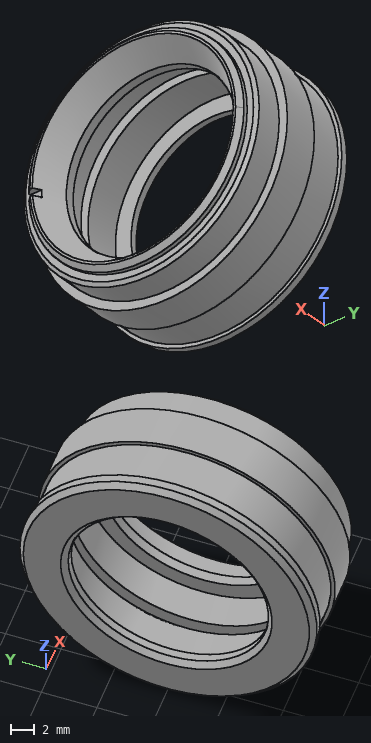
import cadquery as cq

total_length = 12.95
flange_end = 1.25
collar_start = 5.1
recess_end = 6.1
collar_end = 8.9
body_land_start = 9.3
cone_start = 10.27
nose_start = 11.98

outer_dia = 26.75
sleeve_dia = 25.97
barrel_dia = 25.0
barrel_tip_dia = 24.2
nose_dia = 22.87
cap_opening_dia = 18.0
bore_dia = 21.35
recess_dia = 24.2
body_land_dia = 18.14
cone_mouth_dia = 21.35

edge_chamfer = 0.5
barrel_chamfer_length = 0.27

notch_width = 0.75
notch_depth = 0.75
notch_tilt = 2.3


def turned(profile):
    """Revolve a closed (axial position, diameter) outline about the X axis."""
    points = [(x, diameter / 2) for x, diameter in profile]
    return cq.Workplane("XY").polyline(points).close().revolve(360, (0, 0, 0), (1, 0, 0))


def make_cap():
    """Flanged cap whose sleeve butts against the collar face of the body."""
    return turned([
        (0, cap_opening_dia + 2 * edge_chamfer),
        (0, outer_dia - 2 * edge_chamfer),
        (edge_chamfer, outer_dia),
        (flange_end, outer_dia),
        (flange_end, sleeve_dia),
        (collar_start, sleeve_dia),
        (collar_start, bore_dia),
        (flange_end, bore_dia),
        (flange_end, cap_opening_dia),
        (edge_chamfer, cap_opening_dia),
    ])


def make_notch():
    """Block that cuts the notch through one side of the nose wall."""
    block = cq.Workplane("XY").box(
        notch_depth, outer_dia / 2, notch_width, centered=(False, False, True)
    )
    block = block.translate((total_length - notch_depth, -outer_dia / 2, 0))
    return block.rotate((0, 0, 0), (1, 0, 0), notch_tilt)


def make_body():
    """Collared body with a recess facing the cap and a notched, conical nose."""
    body = turned([
        (collar_start, recess_dia),
        (collar_start, outer_dia),
        (collar_end, outer_dia),
        (collar_end, barrel_dia),
        (nose_start - barrel_chamfer_length, barrel_dia),
        (nose_start, barrel_tip_dia),
        (nose_start, nose_dia),
        (total_length - edge_chamfer, nose_dia),
        (total_length, nose_dia - 2 * edge_chamfer),
        (total_length, cone_mouth_dia),
        (cone_start, body_land_dia),
        (body_land_start, body_land_dia),
        (body_land_start, bore_dia),
        (recess_end, bore_dia),
        (recess_end, recess_dia),
    ])
    return body.cut(make_notch())


cap = make_cap()
body = make_body()

result = cq.Compound.makeCompound([cap.val(), body.val()])